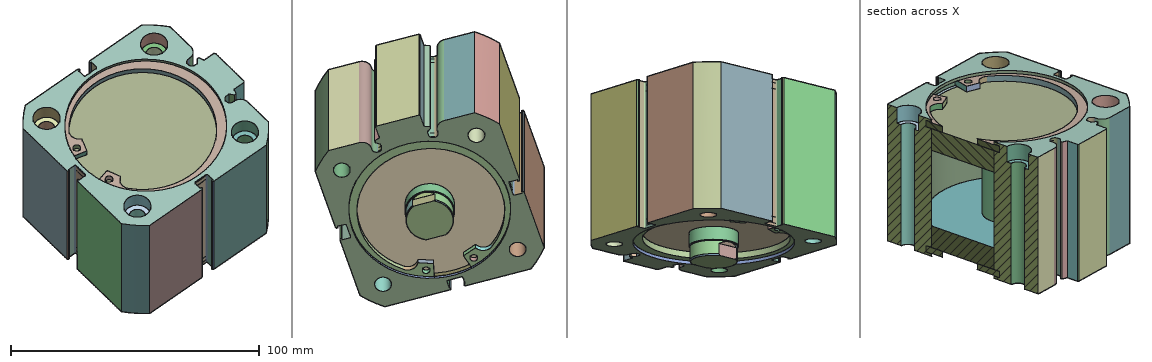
import cadquery as cq
import math

side = 77.5
height = 61.4
half_side = side / 2
corner_radius = 49.5

overall_depth = 83.0
rail_top = overall_depth - half_side
rail_half_width = 9.4
rail_corner = 0.4
bump_half_width = 11.6
bump_root = 38.6
bump_top = 37.8
bump_bottom = 36.85
neck_half_width = 9.9
neck_top = 35.5
channel_outer = 13.9
channel_floor = 32.3
channel_floor_radius = 1.8
channel_lip_radius = 4.0

slot_floor = 34.2
slot_half_width = 3.3
slot_corner_radius = 0.5
slot_lip_thickness = 0.9
side_mouth_half_width = 2.6
front_mouth_half_width = 2.7
mouth_chamfer_depth = 0.3
side_mouth_chamfer = 0.7
front_mouth_chamfer = 0.3

bolt_offset = 28.3
bolt_hole_diameter = 6.7
counterbore_diameter = 10.9
counterbore_depth = 7.0

bore_radius = 32.5
groove_floor_wall = 0.215
groove_radius = slot_floor - groove_floor_wall
groove_inset = 1.3
groove_width = 2.6

ring_opening_radius = 29.7
ring_opening_shift = -1.6
scallop_start_x = 18.6
scallop_bottom = (16.0, -25.7)
lug_inner_corner = (12.1, -23.4)
lug_gap_corner = (6.3, -25.65)
lug_hole_centre = (10.05, -27.8)
lug_hole_diameter = 3.1
gap_overreach = 1.1

cover_thickness = 10.0

rod_radius = 10.0
rod_protrusion = 8.05
collar_length = 1.5
shank_radius = 9.6
flat_distance = 8.4
rod_end_chamfer = 0.25
rod_end_chamfer_length = 0.7

top_cover_top = height - groove_inset - groove_width
bottom_cover_bottom = groove_inset + groove_width


def square_with_turned_corners():
    block = cq.Workplane("XY").rect(side, side).extrude(height)
    return block.intersect(cq.Workplane("XY").circle(corner_radius).extrude(height))


def rail():
    """Rail with its undercut neck, rooted inside the square body."""
    right = [
        (neck_half_width, channel_floor),
        (neck_half_width, neck_top),
        (bump_half_width, bump_bottom),
        (bump_half_width, bump_top),
        (rail_half_width, bump_root),
        (rail_half_width, rail_top - rail_corner),
        (rail_half_width - rail_corner, rail_top),
    ]
    left = [(-x, y) for x, y in reversed(right)]
    return cq.Workplane("XY").polyline(right + left).close().extrude(height)


def rail_clearance():
    """Opening in the +Y side in which the rail stands, one channel on each side."""
    lip_bottom = half_side - channel_lip_radius
    lip_outer = channel_outer + channel_lip_radius
    arc_offset = channel_lip_radius * math.sqrt(0.5)
    lip_middle = (lip_outer - arc_offset, lip_bottom + arc_offset)
    channels = cq.Workplane("XY")
    for sign in (-1, 1):
        channel_middle = sign * (channel_outer + neck_half_width) / 2
        channel = (
            cq.Workplane("XY")
            .center(channel_middle, (channel_floor + half_side) / 2)
            .rect(channel_outer - neck_half_width, half_side - channel_floor)
            .extrude(height)
            .edges("|Z and <Y")
            .fillet(channel_floor_radius)
        )
        mouth = (
            cq.Workplane("XY")
            .moveTo(0, neck_top)
            .lineTo(sign * neck_half_width, neck_top)
            .lineTo(sign * channel_outer, lip_bottom)
            .threePointArc((sign * lip_middle[0], lip_middle[1]), (sign * lip_outer, half_side))
            .lineTo(0, half_side)
            .close()
            .extrude(height)
        )
        channels = channels.add(channel).add(mouth)
    return channels.combine()


def sensor_slot(mouth_half_width, mouth_chamfer, turn):
    """T-slot cut into the -Y side, then turned about Z to its own side."""
    lip_inside = half_side - slot_lip_thickness
    pocket = (
        cq.Workplane("XY")
        .center(0, -(slot_floor + lip_inside) / 2)
        .rect(2 * slot_half_width, lip_inside - slot_floor)
        .extrude(height)
        .edges("|Z and >Y")
        .fillet(slot_corner_radius)
    )
    mouth_outer = mouth_half_width + mouth_chamfer
    chamfer_start = half_side - mouth_chamfer_depth
    mouth = (
        cq.Workplane("XY")
        .polyline(
            [
                (-mouth_half_width, -lip_inside),
                (-mouth_half_width, -chamfer_start),
                (-mouth_outer, -half_side),
                (mouth_outer, -half_side),
                (mouth_half_width, -chamfer_start),
                (mouth_half_width, -lip_inside),
            ]
        )
        .close()
        .extrude(height)
    )
    return pocket.union(mouth).rotate((0, 0, 0), (0, 0, 1), turn)


def groove_disc(bottom):
    return cq.Workplane("XY", origin=(0, 0, bottom)).circle(groove_radius).extrude(groove_width)


def make_housing():
    body = square_with_turned_corners().cut(rail_clearance()).union(rail())
    body = body.cut(sensor_slot(front_mouth_half_width, front_mouth_chamfer, 0))
    for turn in (-90, 90):
        body = body.cut(sensor_slot(side_mouth_half_width, side_mouth_chamfer, turn))
    body = (
        body.faces(">Z")
        .workplane(origin=(0, 0, height))
        .rect(2 * bolt_offset, 2 * bolt_offset, forConstruction=True)
        .vertices()
        .cboreHole(bolt_hole_diameter, counterbore_diameter, counterbore_depth)
    )
    body = body.cut(cq.Workplane("XY").circle(bore_radius).extrude(height))
    for bottom in (groove_inset, top_cover_top):
        body = body.cut(groove_disc(bottom))
    return body


def mirrored(point):
    return (-point[0], point[1])


def make_snap_ring(bottom):
    rise = math.sqrt(ring_opening_radius**2 - scallop_start_x**2)
    scallop_start = (scallop_start_x, ring_opening_shift - rise)
    opening_top = (0, ring_opening_shift + ring_opening_radius)
    reach = gap_overreach * groove_radius / math.hypot(*lug_gap_corner)
    gap_end = (lug_gap_corner[0] * reach, lug_gap_corner[1] * reach)
    opening = (
        cq.Workplane("XY", origin=(0, 0, bottom))
        .moveTo(*mirrored(scallop_start))
        .threePointArc(opening_top, scallop_start)
        .threePointArc(scallop_bottom, lug_inner_corner)
        .lineTo(*lug_gap_corner)
        .lineTo(*gap_end)
        .lineTo(*mirrored(gap_end))
        .lineTo(*mirrored(lug_gap_corner))
        .lineTo(*mirrored(lug_inner_corner))
        .threePointArc(mirrored(scallop_bottom), mirrored(scallop_start))
        .close()
        .extrude(groove_width)
    )
    lug_holes = (
        cq.Workplane("XY", origin=(0, 0, bottom))
        .pushPoints([lug_hole_centre, mirrored(lug_hole_centre)])
        .circle(lug_hole_diameter / 2)
        .extrude(groove_width)
    )
    return groove_disc(bottom).cut(opening).cut(lug_holes)


def make_head_cover():
    bottom = top_cover_top - cover_thickness
    return cq.Workplane("XY", origin=(0, 0, bottom)).circle(bore_radius).extrude(cover_thickness)


def make_rod_cover():
    return (
        cq.Workplane("XY", origin=(0, 0, bottom_cover_bottom))
        .circle(bore_radius)
        .circle(rod_radius)
        .extrude(cover_thickness)
    )


def make_rod():
    """Rod reaching up to the head cover, with two wrench flats on its stepped lower end."""
    top = top_cover_top - cover_thickness
    end = -rod_protrusion
    step = rod_radius - shank_radius
    rod = (
        cq.Workplane("XZ")
        .polyline(
            [
                (0, end),
                (shank_radius - rod_end_chamfer, end),
                (shank_radius, end + rod_end_chamfer_length),
                (shank_radius, -collar_length - step),
                (rod_radius, -collar_length),
                (rod_radius, top),
                (0, top),
            ]
        )
        .close()
        .revolve(360, (0, 0), (0, 1))
    )
    flat_top = -collar_length - (rod_radius - flat_distance)
    for sign in (-1, 1):
        flat = (
            cq.Workplane("YZ")
            .polyline(
                [
                    (sign * flat_distance, end),
                    (sign * flat_distance, flat_top),
                    (sign * rod_radius, -collar_length),
                    (sign * rod_radius, end),
                ]
            )
            .close()
            .extrude(rod_radius, both=True)
        )
        rod = rod.cut(flat)
    return rod


housing = make_housing()
head_cover = make_head_cover()
rod_cover = make_rod_cover()
rod = make_rod()
snap_rings = [make_snap_ring(bottom) for bottom in (groove_inset, top_cover_top)]

result = cq.Compound.makeCompound(
    [
        housing.val(),
        head_cover.val(),
        rod_cover.val(),
        rod.val(),
        *[ring.val() for ring in snap_rings],
    ]
)